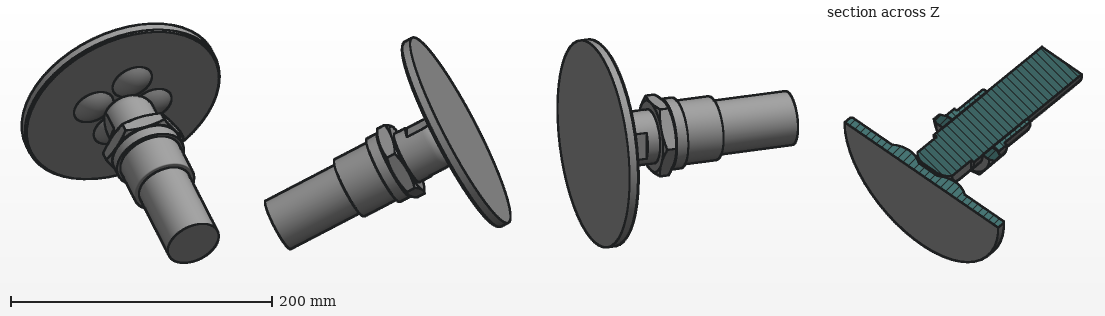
import cadquery as cq
import math

plate_diameter = 160.0
plate_thickness = 8.0
plate_chamfer = 1.3

cap_count = 4
cap_height = 5.9
cap_radius = 16.1
cap_circle_radius = 25.1
cap_first_angle = 72.0

stem_diameter = 41.9
stem_start = 9.6
stem_end = 159.5
stem_end_round = 14.2
stem_flat_width = 36.1
stem_flat_end = 36.8

nut_start = 46.7
nut_length = 10.7
nut_across_flats = 55.0
nut_chamfer_length = 1.9
nut_face_radius = 27.7
nut_collar_length = 0.8

sleeve_start = nut_start + nut_length + nut_collar_length
sleeve_end = 97.4
sleeve_diameter = 49.5
sleeve_round = 0.8
flange_diameter = 55.0
flange_thickness = 9.1


def rod(start, end, diameter):
    """Solid cylinder on the X axis between two X positions."""
    return cq.Workplane("YZ", origin=(start, 0, 0)).circle(diameter / 2).extrude(end - start)


def make_cap(angle):
    """Spherical cap whose rim lies on the back face of the plate."""
    sphere_radius = (cap_radius**2 + cap_height**2) / (2 * cap_height)
    tip = plate_thickness + cap_height
    half_angle = math.asin(cap_radius / sphere_radius) / 2
    arc_middle = (tip - sphere_radius * (1 - math.cos(half_angle)), sphere_radius * math.sin(half_angle))
    cap = (
        cq.Workplane("XY")
        .moveTo(plate_thickness, 0)
        .lineTo(plate_thickness, cap_radius)
        .threePointArc(arc_middle, (tip, 0))
        .close()
        .revolve(360, (0, 0, 0), (1, 0, 0))
    )
    y = cap_circle_radius * math.cos(math.radians(angle))
    z = cap_circle_radius * math.sin(math.radians(angle))
    return cap.translate((0, y, z))


def make_plate():
    plate = rod(0, plate_thickness, plate_diameter).faces(">X").edges().chamfer(plate_chamfer)
    for index in range(cap_count):
        plate = plate.union(make_cap(cap_first_angle + index * 360 / cap_count))
    return plate


def make_stem():
    stem = rod(stem_start, stem_end, stem_diameter)
    stem = stem.faces("<X").edges().fillet(stem_end_round)
    flat_zone = rod(stem_start, stem_flat_end, stem_diameter * 2)
    between_flats = cq.Workplane("XY").box(2 * stem_flat_end, stem_flat_width, stem_diameter)
    return stem.cut(flat_zone.cut(between_flats))


def make_nut():
    corner_radius = nut_across_flats / 2 / math.cos(math.pi / 6)
    nut_end = nut_start + nut_length
    hexagon = (
        cq.Workplane("YZ", origin=(nut_start, 0, 0))
        .polygon(6, 2 * corner_radius)
        .extrude(nut_length)
    )
    chamfered_blank = (
        cq.Workplane("XY")
        .moveTo(nut_start, 0)
        .lineTo(nut_start, nut_face_radius)
        .lineTo(nut_start + nut_chamfer_length, corner_radius)
        .lineTo(nut_end - nut_chamfer_length, corner_radius)
        .lineTo(nut_end, nut_face_radius)
        .lineTo(nut_end, 0)
        .close()
        .revolve(360, (0, 0, 0), (1, 0, 0))
    )
    collar = rod(nut_end, nut_end + nut_collar_length, nut_across_flats)
    bore = rod(nut_start, nut_end + nut_collar_length, stem_diameter)
    return hexagon.intersect(chamfered_blank).union(collar).cut(bore)


def make_sleeve():
    body = rod(sleeve_start, sleeve_end, sleeve_diameter).faces(">X").edges().fillet(sleeve_round)
    flange = rod(sleeve_start, sleeve_start + flange_thickness, flange_diameter)
    bore = rod(sleeve_start, sleeve_end, stem_diameter)
    return body.union(flange).cut(bore)


plate = make_plate()
stem = make_stem()
nut = make_nut()
sleeve = make_sleeve()

result = cq.Compound.makeCompound([plate.val(), stem.val(), nut.val(), sleeve.val()])